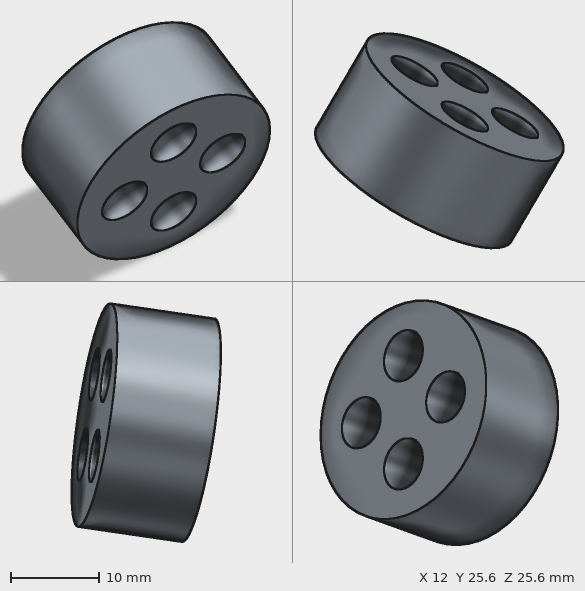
import cadquery as cq

disc_diameter = 25.6
disc_thickness = 12.0
hole_diameter = 6.0
hole_circle_radius = 6.5
hole_count = 4

disc = cq.Workplane("YZ").circle(disc_diameter / 2).extrude(disc_thickness)

holes = (
    cq.Workplane("YZ")
    .polarArray(hole_circle_radius, 0, 360, hole_count)
    .circle(hole_diameter / 2)
    .extrude(disc_thickness)
)

result = disc.cut(holes)